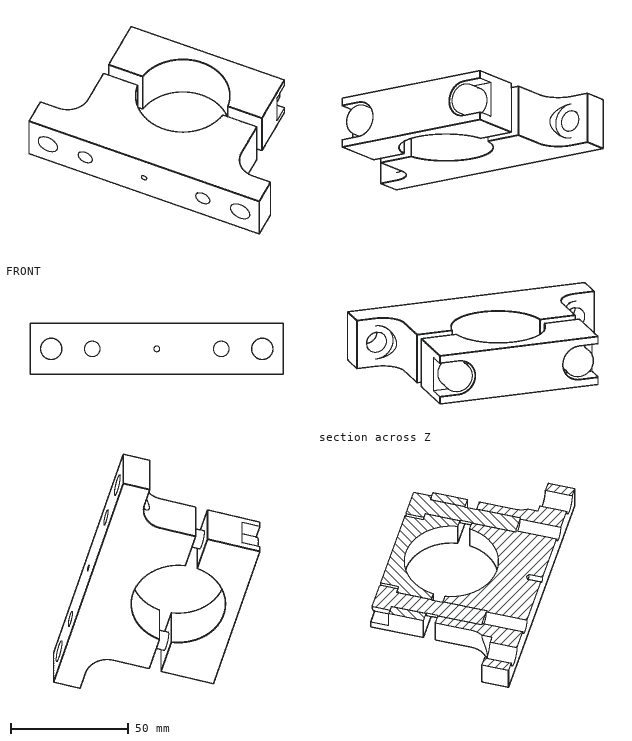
import cadquery as cq
import math

THICKNESS = 22.0
FOOT_WIDTH = 108.0
FOOT_HEIGHT = 12.0
BODY_WIDTH = 72.0
FULL_HEIGHT = 66.0
FOOT_FILLET = 9.5
EDGE_CHAMFER = 0.25

BORE_DIA = 40.0
BORE_HEIGHT = 40.0
SPLIT_GAP = 5.0
SPLIT_LOW = BORE_HEIGHT - SPLIT_GAP / 2
SPLIT_HIGH = BORE_HEIGHT + SPLIT_GAP / 2

SCREW_X = 27.5
SCREW_DIA = 8.0
SCREW_LENGTH = 40.0
SCREW_HEAD_DIA = 13.0
SCREW_HEAD_HEIGHT = 8.0
SCREW_HEAD_FILLET = 0.8
SEAT_DEPTH = 8.0
SEAT_DIA = 15.0
SEAT_Y = FULL_HEIGHT - SEAT_DEPTH
SCREW_TIP_Y = SEAT_Y - SCREW_LENGTH
TAP_DRILL_DIA = 6.6

MOUNT_X = 45.0
MOUNT_DIA = 9.0
SPOT_FACE_DIA = 15.0

PILOT_DIA = 2.5
PILOT_DEPTH = 6.0
DRILL_POINT_ANGLE = 118.0

SIDES = (-1, 1)


def cylinder_along_y(diameter, x, y_start, y_end):
    """Solid cylinder parallel to Y at mid thickness."""
    plane = cq.Plane(origin=(x, y_start, 0), xDir=(1, 0, 0), normal=(0, 1, 0))
    return cq.Workplane(plane).circle(diameter / 2).extrude(y_end - y_start)


def bore_cutter():
    return (
        cq.Workplane("XY")
        .center(0, BORE_HEIGHT)
        .circle(BORE_DIA / 2)
        .extrude(THICKNESS / 2, both=True)
    )


def pilot_cutter():
    """Drilled hole with a conical bottom, revolved about Y."""
    radius = PILOT_DIA / 2
    point_length = radius / math.tan(math.radians(DRILL_POINT_ANGLE / 2))
    return (
        cq.Workplane("XY")
        .polyline([(0, 0), (radius, 0), (radius, PILOT_DEPTH), (0, PILOT_DEPTH + point_length)])
        .close()
        .revolve(360, (0, 0, 0), (0, 1, 0))
    )


def make_housing():
    foot_half = FOOT_WIDTH / 2
    body_half = BODY_WIDTH / 2
    fillet_top = FOOT_HEIGHT + FOOT_FILLET
    fillet_end = body_half + FOOT_FILLET
    housing = (
        cq.Workplane("XY")
        .moveTo(-foot_half, 0)
        .lineTo(foot_half, 0)
        .lineTo(foot_half, FOOT_HEIGHT)
        .lineTo(fillet_end, FOOT_HEIGHT)
        .radiusArc((body_half, fillet_top), FOOT_FILLET)
        .lineTo(body_half, SPLIT_LOW)
        .lineTo(-body_half, SPLIT_LOW)
        .lineTo(-body_half, fillet_top)
        .radiusArc((-fillet_end, FOOT_HEIGHT), FOOT_FILLET)
        .lineTo(-foot_half, FOOT_HEIGHT)
        .close()
        .extrude(THICKNESS / 2, both=True)
        .cut(bore_cutter())
    )
    housing = housing.faces("<Y or >Y or <Z or >Z or <X or >X").edges().chamfer(EDGE_CHAMFER)
    for side in SIDES:
        housing = housing.cut(cylinder_along_y(MOUNT_DIA, side * MOUNT_X, 0, FOOT_HEIGHT))
        housing = housing.cut(cylinder_along_y(SPOT_FACE_DIA, side * MOUNT_X, FOOT_HEIGHT, SPLIT_LOW))
        housing = housing.cut(cylinder_along_y(TAP_DRILL_DIA, side * SCREW_X, 0, SCREW_TIP_Y))
        housing = housing.cut(cylinder_along_y(SCREW_DIA, side * SCREW_X, SCREW_TIP_Y, SPLIT_LOW))
    return housing.cut(pilot_cutter())


def screw_seat_cutter(side):
    """Round-ended seat for a screw head, open towards the side of the cap."""
    wall_distance = BODY_WIDTH / 2 - SCREW_X
    opening = cq.Workplane("XY").box(wall_distance, SEAT_DEPTH, SEAT_DIA)
    opening = opening.translate((side * (SCREW_X + wall_distance / 2), SEAT_Y + SEAT_DEPTH / 2, 0))
    return cylinder_along_y(SEAT_DIA, side * SCREW_X, SEAT_Y, FULL_HEIGHT).union(opening)


def make_cap():
    cap_height = FULL_HEIGHT - SPLIT_HIGH
    cap = (
        cq.Workplane("XY")
        .box(BODY_WIDTH, cap_height, THICKNESS)
        .translate((0, SPLIT_HIGH + cap_height / 2, 0))
        .cut(bore_cutter())
    )
    for side in SIDES:
        cap = cap.cut(screw_seat_cutter(side))
    cap = cap.faces("<Y or >Y or <Z or >Z").edges().chamfer(EDGE_CHAMFER)
    for side in SIDES:
        cap = cap.cut(cylinder_along_y(SCREW_DIA, side * SCREW_X, SPLIT_HIGH, SEAT_Y))
    return cap


def make_screw(side):
    x = side * SCREW_X
    head = cylinder_along_y(SCREW_HEAD_DIA, x, SEAT_Y, SEAT_Y + SCREW_HEAD_HEIGHT)
    head = head.faces(">Y").edges().fillet(SCREW_HEAD_FILLET)
    return head.union(cylinder_along_y(SCREW_DIA, x, SCREW_TIP_Y, SEAT_Y))


housing = make_housing()
cap = make_cap()
screws = [make_screw(side) for side in SIDES]

result = cq.Compound.makeCompound([housing.val(), cap.val(), *[screw.val() for screw in screws]])